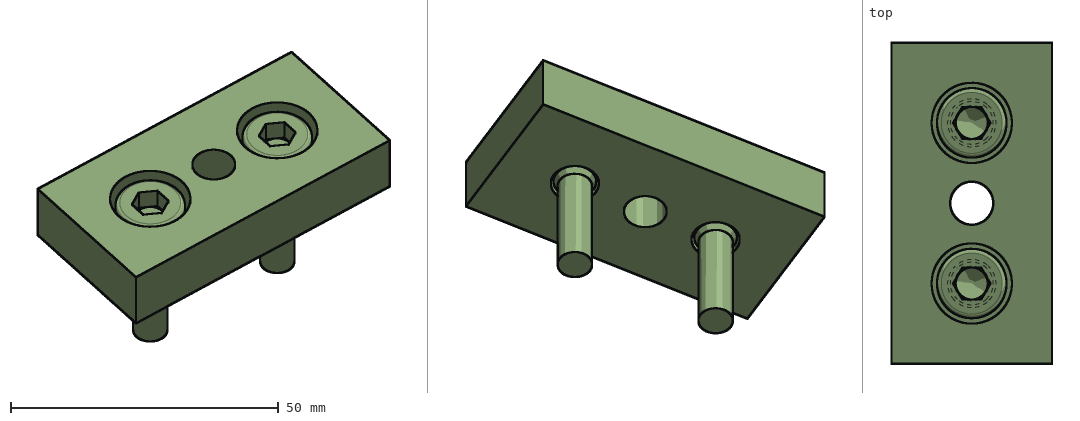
import cadquery as cq
import math

plate_width = 30.0
plate_length = 60.0
plate_thickness = 12.0
center_hole_diameter = 8.0

screw_spacing = plate_length / 2
clearance_diameter = 9.0
counterbore_diameter = 15.0
counterbore_depth = 9.0
seat_height = plate_thickness - counterbore_depth

shank_diameter = 8.0
thread_core_diameter = 6.47
screw_length = 25.0
head_diameter = 13.0
head_height = 8.0
head_edge_radius = 0.8
thread_pitch = 1.25
unthreaded_length = 3 * thread_pitch
runout_angle = 30.0

socket_sides = 6
socket_across_flats = 6.0
socket_depth = 4.0
socket_point_angle = 120.0

screw_positions = [(0, -screw_spacing / 2), (0, screw_spacing / 2)]


def make_plate():
    """Rectangular plate with a plain center hole between two counterbored holes."""
    block = cq.Workplane("XY").box(
        plate_width, plate_length, plate_thickness, centered=(True, True, False)
    )
    return (
        block.faces(">Z")
        .workplane()
        .hole(center_hole_diameter)
        .pushPoints(screw_positions)
        .cboreHole(clearance_diameter, counterbore_diameter, counterbore_depth)
    )


def make_socket():
    """Cutting tool for the hexagon socket, ending in a cone as wide as the flats."""
    across_corners = socket_across_flats / math.cos(math.pi / socket_sides)
    floor_height = head_height - socket_depth
    flat_radius = socket_across_flats / 2
    point_depth = flat_radius / math.tan(math.radians(socket_point_angle / 2))
    hexagon = (
        cq.Workplane("XY")
        .workplane(offset=floor_height)
        .polygon(socket_sides, across_corners)
        .extrude(socket_depth)
    )
    point = (
        cq.Workplane("XZ")
        .moveTo(0, floor_height - point_depth)
        .lineTo(flat_radius, floor_height)
        .lineTo(0, floor_height)
        .close()
        .revolve(360, (0, 0, 0), (0, 1, 0))
    )
    return hexagon.union(point)


def make_screw():
    """Cap screw on the Z axis, with the underside of its head at Z = 0."""
    head_radius = head_diameter / 2
    shank_radius = shank_diameter / 2
    core_radius = thread_core_diameter / 2
    runout_end = -unthreaded_length
    runout_length = (shank_radius - core_radius) / math.tan(math.radians(runout_angle))
    body = (
        cq.Workplane("XZ")
        .moveTo(0, -screw_length)
        .lineTo(core_radius, -screw_length)
        .lineTo(core_radius, runout_end)
        .lineTo(shank_radius, runout_end + runout_length)
        .lineTo(shank_radius, 0)
        .lineTo(head_radius, 0)
        .lineTo(head_radius, head_height)
        .lineTo(0, head_height)
        .close()
        .revolve(360, (0, 0, 0), (0, 1, 0))
    )
    rounded = body.faces(">Z").edges().fillet(head_edge_radius)
    return rounded.cut(make_socket())


plate = make_plate()
screw = make_screw()
screws = [screw.translate((x, y, seat_height)) for x, y in screw_positions]

result = cq.Compound.makeCompound([plate.val(), *[placed.val() for placed in screws]])